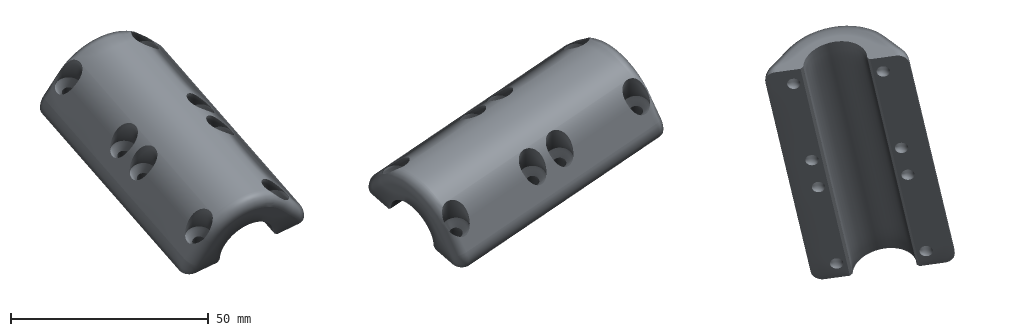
import cadquery as cq
import math

length = 70.0
axis_height = 0.45

crown_radius = 16.0
side_radius = 6.0
half_width = 18.5
end_round = 3.0

bore_radius = 8.25
bore_edge_chamfer = 0.7

hole_diameter = 3.4
head_diameter = 7.0
inner_hole_x = 4.55
outer_hole_x = 30.4
hole_x = (-outer_hole_x, -inner_hole_x, inner_hole_x, outer_hole_x)
hole_y = 11.5
head_rim_height = 7.0
cone_angle = 90.0

side_center = half_width - side_radius
flank_angle = math.acos((crown_radius - side_radius) / side_center)


def on_arc(center_y, radius, angle):
    """Point (Y, Z) on an arc whose centre lies at the height of the bore axis."""
    return (center_y + radius * math.cos(angle), axis_height + radius * math.sin(angle))


def mirrored(point):
    """The same point on the other side of the XZ plane."""
    return (-point[0], point[1])


def make_body():
    """Solid section extruded along X, with both end outlines rounded."""
    base_angle = -math.asin(axis_height / side_radius)
    base_point = on_arc(side_center, side_radius, base_angle)
    side_middle = on_arc(side_center, side_radius, (base_angle + flank_angle) / 2)
    flank_bottom = on_arc(side_center, side_radius, flank_angle)
    flank_top = on_arc(0, crown_radius, flank_angle)
    crown_top = on_arc(0, crown_radius, math.pi / 2)
    body = (
        cq.Workplane("YZ", origin=(-length / 2, 0, 0))
        .moveTo(*base_point)
        .threePointArc(side_middle, flank_bottom)
        .lineTo(*flank_top)
        .threePointArc(crown_top, mirrored(flank_top))
        .lineTo(*mirrored(flank_bottom))
        .threePointArc(mirrored(side_middle), mirrored(base_point))
        .close()
        .extrude(length)
    )
    end_outlines = body.faces("<X or >X").edges("not(<Z)")
    return end_outlines.fillet(end_round)


def make_bore():
    """Bore cutter with flared edges where it opens through the base."""
    bore = (
        cq.Workplane("YZ", origin=(-length / 2, 0, axis_height))
        .circle(bore_radius)
        .extrude(length)
    )
    flare = (
        cq.Workplane("YZ", origin=(-length / 2, 0, 0))
        .moveTo(-bore_radius - bore_edge_chamfer, 0)
        .lineTo(-bore_radius, bore_edge_chamfer)
        .lineTo(bore_radius, bore_edge_chamfer)
        .lineTo(bore_radius + bore_edge_chamfer, 0)
        .close()
        .extrude(length)
    )
    return bore.union(flare)


def make_screw_hole():
    """Through hole, countersink cone and head pocket as one turned cutter on the Z axis."""
    hole_radius = hole_diameter / 2
    head_radius = head_diameter / 2
    cone_depth = (head_radius - hole_radius) / math.tan(math.radians(cone_angle / 2))
    cutter_top = axis_height + crown_radius
    return (
        cq.Workplane("XZ")
        .lineTo(hole_radius, 0)
        .lineTo(hole_radius, head_rim_height - cone_depth)
        .lineTo(head_radius, head_rim_height)
        .lineTo(head_radius, cutter_top)
        .lineTo(0, cutter_top)
        .close()
        .revolve()
    )


def make_all_screw_holes():
    """Two rows of screw hole cutters, one along each flank."""
    places = [(x, side * hole_y) for x in hole_x for side in (-1, 1)]
    screw_hole = make_screw_hole().val()
    return cq.Workplane("XY").pushPoints(places).eachpoint(lambda place: screw_hole.moved(place))


result = make_body().cut(make_bore()).cut(make_all_screw_holes())